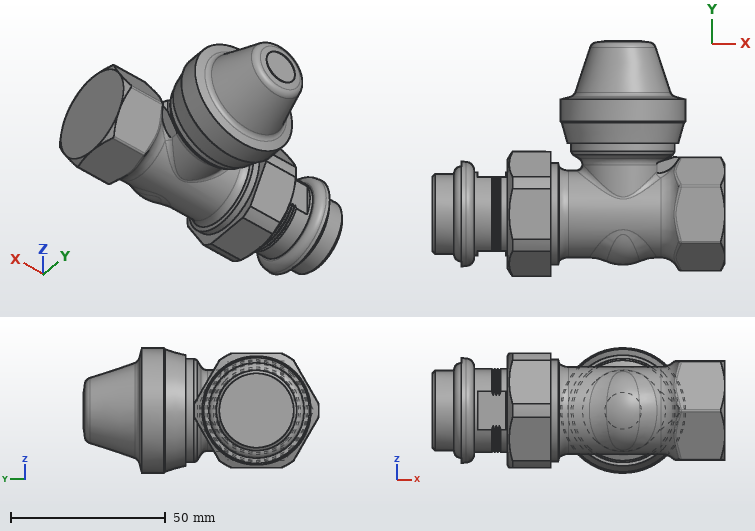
import cadquery as cq
import math


overall_length = 94.57
overall_width = 76.24
overall_height = 40.5

selection_margin = 1.0

tail_x = -61.62
spigot_radius = 13.0
spigot_chamfer = 1.0
bead_x = -54.6
bead_front_round = 2.4
bead_front_radius = spigot_radius + bead_front_round
lip_x = bead_x + bead_front_round
lip_radius = 17.07
lip_length = 1.4
lip_drop = 0.2
bead_back_x = -48.0
neck_radius = 13.5
neck_flat_offset = 12.0
neck_flat_start_x = -46.9
neck_flat_end_x = -37.8
groove_count = 3
groove_pitch = 1.0
groove_depth = 0.5
groove_start_x = -42.4

nut_start_x = -37.3
nut_end_x = -23.25
nut_across_flats = 37.0
nut_corner_radius = 20.2
nut_face_radius = 17.6
nut_chamfer_length = 1.65

collar_radius = 16.5
collar_end_x = -20.9
collar_chamfer_length = 0.4
collar_root_radius = 15.1
body_radius = 14.1
body_start_x = -17.6
flare_start_x = 12.2
flare_radius = 6.3
bulge_radius = 13.1
bulge_reach = 16.45
bulge_fillet = 13.5

socket_end_x = tail_x + overall_length
socket_across_flats = 32.0
socket_edge_fillet = 0.85
socket_face_radius = 16.0
socket_back_fillet = 1.0
socket_front_chamfer_length = 1.43

branch_radius = 13.1
branch_fillet = 2.0
branch_top_y = 15.9
branch_flare_end_y = 18.0
branch_flare_end_radius = 14.3
branch_collar_radius = 16.8
branch_collar_start_y = 20.2
branch_chamfer_y = 19.15
branch_chamfer_radius = 16.2
cap_skirt_y = 22.8
cap_skirt_radius = 17.9
cap_skirt_top_y = 29.5
cap_skirt_top_radius = 19.8
cap_band_y = 29.9
cap_band_radius = overall_height / 2
cap_band_top_y = 37.0
cap_shoulder_y = 37.9
cap_shoulder_radius = 17.0
cap_cone_y = 39.3
cap_cone_radius = 15.4
cap_cone_top_y = 53.8
cap_cone_top_radius = 10.6
cap_crown_y = 55.55
cap_crown_radius = 8.3
cap_button_radius = 5.9
cap_button_height = 0.2
cap_top_y = overall_width - nut_corner_radius

web_branch_half = 8.0
web_end_half = 1.0
web_branch_y = 16.2
web_branch_x = 10.0
web_peak_x = 16.6
web_peak_y = 18.5
web_end_x = 18.2
web_end_y = 18.3


def flare_run(radius):
    """Distance along X over which the flare grows from the body to the given radius."""
    return math.sqrt(flare_radius ** 2 - (flare_radius - (radius - body_radius)) ** 2)


def level_arc_middle(x_level, y_level, x_end, y_end):
    """Middle point of the arc that is level at the first point and passes the second."""
    run = x_end - x_level
    rise = y_end - y_level
    radius = (run ** 2 + rise ** 2) / (2 * rise)
    half_angle = math.asin(run / radius) / 2
    return (
        x_level + radius * math.sin(half_angle),
        y_level + radius * (1 - math.cos(half_angle)),
    )


def revolve_about_x(profile):
    return profile.close().revolve(360, (0, 0, 0), (1, 0, 0))


def hexagon_corner_radius(across_flats):
    return across_flats / 2 / math.cos(math.pi / 6)


def hexagon(start_x, end_x, across_flats):
    """Hexagonal bar along X with corners at +-Y and flats at +-Z."""
    across_corners = 2 * hexagon_corner_radius(across_flats)
    return cq.Workplane("YZ", origin=(start_x, 0, 0)).polygon(6, across_corners).extrude(end_x - start_x)


def make_tail():
    bead_arc = bead_front_round * (1 - math.sqrt(0.5))
    back_round = bead_back_x - (lip_x + lip_length)
    back_top_radius = lip_radius - lip_drop
    back_arc = back_round * (1 - math.sqrt(0.5))
    profile = (
        cq.Workplane("XY")
        .moveTo(tail_x, 0)
        .lineTo(tail_x, spigot_radius - spigot_chamfer)
        .lineTo(tail_x + spigot_chamfer, spigot_radius)
        .lineTo(bead_x, spigot_radius)
        .threePointArc((bead_x + bead_arc, bead_front_radius - bead_arc), (lip_x, bead_front_radius))
        .lineTo(lip_x, lip_radius)
        .lineTo(lip_x + lip_length, back_top_radius)
        .threePointArc(
            (bead_back_x - back_arc, back_top_radius - back_arc),
            (bead_back_x, back_top_radius - back_round),
        )
        .lineTo(bead_back_x, neck_radius)
        .lineTo(groove_start_x, neck_radius)
    )
    for index in range(groove_count):
        x = groove_start_x + index * groove_pitch
        profile = profile.lineTo(x + groove_pitch / 2, neck_radius - groove_depth)
        profile = profile.lineTo(x + groove_pitch, neck_radius)
    tail = revolve_about_x(profile.lineTo(nut_end_x, neck_radius).lineTo(nut_end_x, 0))

    flat_length = neck_flat_end_x - neck_flat_start_x
    for side in (-1, 1):
        cutter = cq.Workplane("XY").box(flat_length, neck_radius, 2 * neck_radius).translate(
            (neck_flat_start_x + flat_length / 2, side * (neck_flat_offset + neck_radius / 2), 0)
        )
        tail = tail.cut(cutter)
    return tail


def make_nut():
    envelope = revolve_about_x(
        cq.Workplane("XY")
        .moveTo(nut_start_x, 0)
        .lineTo(nut_start_x, nut_face_radius)
        .lineTo(nut_start_x + nut_chamfer_length, nut_corner_radius)
        .lineTo(nut_end_x, nut_corner_radius)
        .lineTo(nut_end_x, 0)
    )
    return hexagon(nut_start_x, nut_end_x, nut_across_flats).intersect(envelope)


def make_run_body():
    """Turned run body from the collar to the hexagonal end, whose faces cut into the flare."""
    root_x = collar_end_x + collar_chamfer_length
    corner_radius = hexagon_corner_radius(socket_across_flats)
    flare_end_x = flare_start_x + flare_run(corner_radius)
    root_middle = level_arc_middle(body_start_x, body_radius, root_x, collar_root_radius)
    flare_middle = level_arc_middle(flare_start_x, body_radius, flare_end_x, corner_radius)
    turned = revolve_about_x(
        cq.Workplane("XY")
        .moveTo(nut_end_x, 0)
        .lineTo(nut_end_x, collar_radius)
        .lineTo(collar_end_x, collar_radius)
        .lineTo(root_x, collar_root_radius)
        .threePointArc(root_middle, (body_start_x, body_radius))
        .lineTo(flare_start_x, body_radius)
        .threePointArc(flare_middle, (flare_end_x, corner_radius))
        .lineTo(socket_end_x - socket_front_chamfer_length, corner_radius)
        .lineTo(socket_end_x, socket_face_radius)
        .lineTo(socket_end_x, 0)
    )
    bar = hexagon(flare_start_x, socket_end_x, socket_across_flats)
    bar = bar.edges("|X").fillet(socket_edge_fillet)
    length = socket_end_x - flare_start_x
    sleeve = cq.Workplane("YZ", origin=(flare_start_x, 0, 0)).circle(2 * corner_radius).extrude(length)
    return turned.cut(sleeve.cut(bar))


def soften_socket_back(body):
    """Round the edge where the flare runs out into the hexagon faces."""
    corner_radius = hexagon_corner_radius(socket_across_flats)
    start_x = flare_start_x + flare_run(socket_across_flats / 2) - selection_margin
    end_x = flare_start_x + flare_run(corner_radius) + selection_margin
    reach = socket_across_flats
    window = cq.selectors.BoxSelector((start_x, -reach, -reach), (end_x, reach, reach))
    return body.edges(window).fillet(socket_back_fillet)


def add_bulge(body):
    """Ball swelling opposite the branch, blended into the run."""
    centre = (0, bulge_radius - bulge_reach, 0)
    swollen = body.union(cq.Workplane("XY").sphere(bulge_radius).translate(centre))
    reach = bulge_radius - selection_margin
    window = cq.selectors.BoxSelector(
        (-reach, -bulge_reach, -body_radius),
        (reach, -selection_margin, body_radius),
    )
    seam = swollen.edges(window)
    return seam.fillet(bulge_fillet)


def add_branch(body):
    """Plain branch neck with a fillet where it leaves the run."""
    neck = cq.Workplane("XZ").circle(branch_radius).extrude(-branch_top_y)
    joined = body.union(neck)
    reach = branch_radius + selection_margin
    top = branch_top_y - selection_margin
    window = cq.selectors.BoxSelector((-reach, selection_margin, -reach), (reach, top, reach))
    seam = joined.edges(window)
    return seam.fillet(branch_fillet)


def make_cap():
    """Branch collar and protective cap, turned about Y."""
    mid_y, mid_r = level_arc_middle(branch_top_y, branch_radius, branch_flare_end_y, branch_flare_end_radius)
    return (
        cq.Workplane("XY")
        .moveTo(0, branch_top_y)
        .lineTo(branch_radius, branch_top_y)
        .threePointArc((mid_r, mid_y), (branch_flare_end_radius, branch_flare_end_y))
        .lineTo(branch_chamfer_radius, branch_chamfer_y)
        .lineTo(branch_collar_radius, branch_collar_start_y)
        .lineTo(branch_collar_radius, cap_skirt_y)
        .lineTo(cap_skirt_radius, cap_skirt_y)
        .lineTo(cap_skirt_top_radius, cap_skirt_top_y)
        .lineTo(cap_band_radius, cap_band_y)
        .lineTo(cap_band_radius, cap_band_top_y)
        .lineTo(cap_shoulder_radius, cap_shoulder_y)
        .tangentArcPoint((cap_cone_radius, cap_cone_y), relative=False)
        .lineTo(cap_cone_top_radius, cap_cone_top_y)
        .tangentArcPoint((cap_crown_radius, cap_crown_y), relative=False)
        .lineTo(cap_button_radius, cap_top_y - cap_button_height)
        .lineTo(cap_button_radius, cap_top_y)
        .lineTo(0, cap_top_y)
        .close()
        .revolve(360, (0, 0, 0), (0, 1, 0))
    )


def make_web():
    """Web joining the branch to the hexagon, thinning towards the hexagon."""
    side = (
        cq.Workplane("XY")
        .polyline([
            (0, 0),
            (0, web_branch_y),
            (web_branch_x, web_branch_y),
            (web_peak_x, web_peak_y),
            (web_end_x, web_end_y),
            (web_end_x, 0),
        ])
        .close()
        .extrude(branch_radius, both=True)
    )
    plan = (
        cq.Workplane("XZ")
        .polyline([
            (0, -web_branch_half),
            (web_branch_x, -web_branch_half),
            (web_end_x, -web_end_half),
            (web_end_x, web_end_half),
            (web_branch_x, web_branch_half),
            (0, web_branch_half),
        ])
        .close()
        .extrude(-2 * branch_collar_radius)
    )
    return side.intersect(plan)


valve = add_branch(add_bulge(soften_socket_back(make_run_body())))
for piece in (make_tail(), make_nut(), make_cap(), make_web()):
    valve = valve.union(piece)
result = valve.solids()